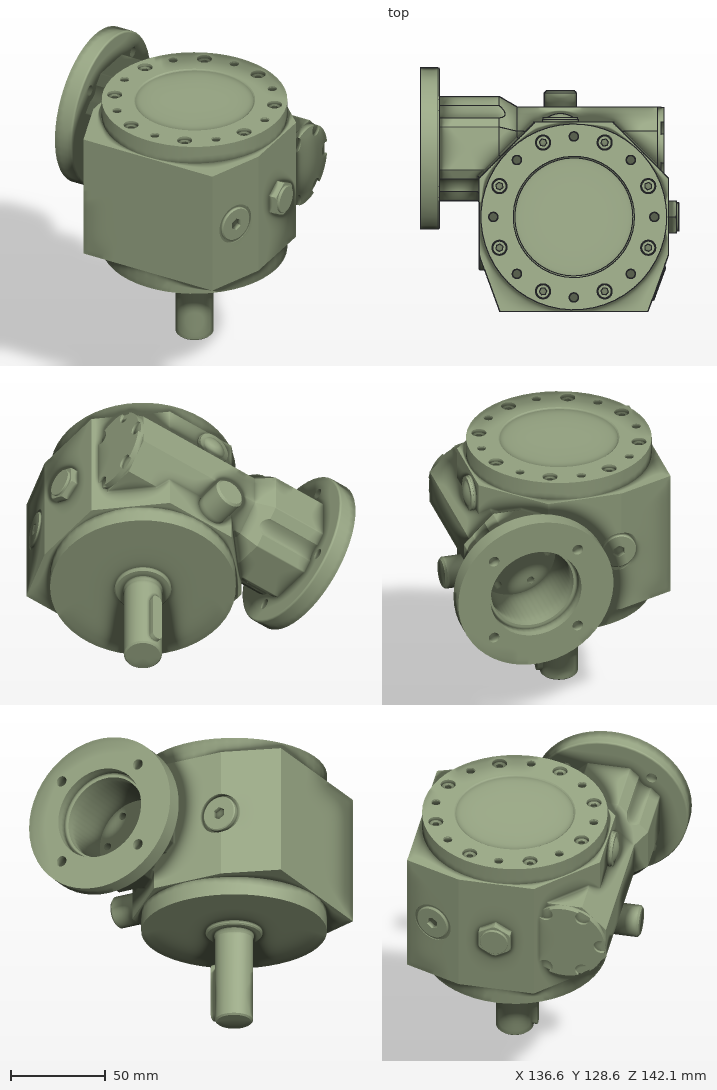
import cadquery as cq
import math

body_half = 50.0
body_half_height = 35.0
rear_flat_half = 20.5
side_start_y = -20.0
front_half = 39.0

cover_dia = 98
cover_thickness = 10.1
screw_circle_dia = 84.9
screw_count = 8
cover_hole_dia = 4.5
cover_hole_mouth_dia = 5.0
cover_hole_mouth_depth = 0.4
cover_hole_depth = 10
recess_dia = 63.9
recess_floor_dia = 62.2
recess_depth = 0.7

counterbore_dia = 8.0
head_dia = 7.0
counterbore_depth = 5.0
head_drop = 1.7
socket_dia = 4.0
socket_depth = 2.0

shaft_dia = 20.0
shaft_end_z = -97.0
shaft_chamfer = 0.9
collar_dia = 30.0
collar_height = 2.1
collar_chamfer = 0.7
shoulder_dia = 21.0
shoulder_height = 4.5
shoulder_taper_height = 1.4
key_width = 6.0
key_length = 32.0
key_top_y = 12.5
key_start_z = -62.0

worm_y = 36.0
flange_dia = 85.2
flange_x = -81
flange_thickness = 10.1
flange_fillet = 1.0
neck_apothem = 27.5
neck_end_x = -39.5
tube_apothem = 22.0
taper_end_x = -30.0
tube_end_x = 44.2
tube_overrun_x = 63.9
edge_fillet = 1.0
wall_fillet = 1.0

flange_bolt_circle_dia = 65.0
flange_bolt_dia = 5.8
groove_radius = 6.8
groove_end_x = -28.4

spigot_dia = 50.0
spigot_depth = 7.0
bore_dia = 45.3
bore_floor_x = -40.0
bore_hole_circle_dia = 36.0
bore_hole_dia = 4.0
bore_hole_mouth_dia = 4.3
bore_hole_mouth_depth = 0.4
bore_hole_depth = 7.1
bore_hole_count = 6

cap_thickness = 3.4
cap_screw_circle_dia = 40.0
cap_screw_count = 6
cap_counterbore_depth = 1.5

hex_corner_dia = 19.6
hex_height = 4.3
hex_chamfer = 0.5
hex_button_dia = 15.0
hex_button_height = 1.3
hex_button_chamfer = 0.3
spotface_dia = 22.0
plug_dia = 19.0
plug_chamfer = 0.5
plug_socket_dia = 7.0
plug_socket_depth = 2.8
left_plug_y = -18.6
left_spotface_depth = 3.4
slant_spotface_depth = 0.5
slant_plug_rise = 0.9
fitting_x = -7.1
fitting_z = 23.0
breather_dia = 17
breather_end_y = 66.6
breather_chamfer = 1.1
dome_base_height = 1.3
dome_plug_dia = 18.2
dome_plug_height = 2.5
dome_dia = 13.3
dome_height = 2.0

cover_top_z = body_half_height + cover_thickness


def along(origin, normal, x_dir=(0, 0, 1)):
    """Workplane at origin whose local Z follows normal."""
    return cq.Workplane(cq.Plane(origin=origin, xDir=x_dir, normal=normal))


def octagon_points(apothem):
    corner_radius = apothem / math.cos(math.pi / 8)
    angles = [math.pi / 8 + i * math.pi / 4 for i in range(8)]
    return [(corner_radius * math.cos(a), corner_radius * math.sin(a)) for a in angles]


def worm_plane(x):
    return cq.Workplane("YZ", origin=(x, worm_y, 0))


def make_block():
    right_side = [
        (front_half, -body_half),
        (body_half, side_start_y),
        (body_half, rear_flat_half),
        (rear_flat_half, body_half),
    ]
    left_side = [(-x, y) for x, y in reversed(right_side)]
    return (
        cq.Workplane("XY")
        .polyline(right_side + left_side)
        .close()
        .extrude(body_half_height, both=True)
    )


def make_covers():
    upper = cq.Workplane("XY", origin=(0, 0, body_half_height)).circle(cover_dia / 2).extrude(cover_thickness)
    return upper.union(upper.mirror("XY"))


def make_neck():
    """Octagonal neck behind the flange, tapering to the tube."""
    neck_start_x = flange_x + flange_thickness
    neck = worm_plane(neck_start_x).polyline(octagon_points(neck_apothem)).close()
    neck = neck.extrude(neck_end_x - neck_start_x)
    neck = neck.edges("|X").fillet(edge_fillet)
    taper = (
        worm_plane(neck_end_x)
        .polyline(octagon_points(neck_apothem))
        .close()
        .workplane(offset=taper_end_x - neck_end_x)
        .polyline(octagon_points(tube_apothem))
        .close()
        .loft(ruled=True)
    )
    return neck.union(taper)


def make_tube():
    """Octagonal tube, long enough to pass right through the block wall."""
    tube = worm_plane(taper_end_x).polyline(octagon_points(tube_apothem)).close()
    return tube.extrude(tube_overrun_x - taper_end_x)


def make_cap():
    cap = worm_plane(tube_end_x).circle(tube_apothem).extrude(cap_thickness)
    screw_pockets = (
        worm_plane(tube_end_x + cap_thickness)
        .polarArray(cap_screw_circle_dia / 2, 0, 360, cap_screw_count)
        .circle(counterbore_dia / 2)
        .extrude(-cap_counterbore_depth)
    )
    return cap.cut(screw_pockets)


def make_flange():
    flange = worm_plane(flange_x).circle(flange_dia / 2).extrude(flange_thickness)
    flange = flange.faces(">X").edges().fillet(flange_fillet)
    bolt_holes = (
        worm_plane(flange_x)
        .polarArray(flange_bolt_circle_dia / 2, 45, 360, 4)
        .circle(flange_bolt_dia / 2)
        .extrude(flange_thickness)
    )
    return flange.cut(bolt_holes)


def fillet_worm_joint(housing):
    """Round the inner corner where the neck and tube meet the block walls."""
    diagonal_sum = body_half + rear_flat_half
    tolerance = 0.01

    def on_side(point):
        return abs(abs(point.x) - body_half) < tolerance

    def on_diagonal(point):
        return abs(abs(point.x) + point.y - diagonal_sum) < tolerance

    def is_joint(edge):
        points = [edge.positionAt(t) for t in (0, 0.5, 1)]
        between_covers = all(abs(p.z) < body_half_height - tolerance for p in points)
        on_one_wall = all(map(on_side, points)) or all(map(on_diagonal, points))
        return between_covers and on_one_wall

    joint = [edge for edge in housing.edges().vals() if is_joint(edge)]
    return housing.newObject(joint).fillet(wall_fillet)


def trim_tube(housing, block):
    """Shorten the tube to its end face without touching the block."""
    trim = worm_plane(tube_end_x).circle(body_half).extrude(tube_overrun_x - tube_end_x)
    return housing.cut(trim.cut(block))


def cut_bolt_grooves(housing, block):
    """Round groove along each diagonal of the neck, stopping at the block."""
    neck_start_x = flange_x + flange_thickness
    grooves = (
        worm_plane(neck_start_x)
        .polarArray(flange_bolt_circle_dia / 2, 45, 360, 4)
        .circle(groove_radius)
        .extrude(groove_end_x - neck_start_x)
    )
    return housing.cut(grooves.cut(block))


def cut_motor_bore(housing):
    spigot = worm_plane(flange_x).circle(spigot_dia / 2).extrude(spigot_depth)
    bore = worm_plane(flange_x).circle(bore_dia / 2).extrude(bore_floor_x - flange_x)

    def floor_holes(dia, depth):
        spots = worm_plane(bore_floor_x).polarArray(bore_hole_circle_dia / 2, 0, 360, bore_hole_count)
        return spots.circle(dia / 2).extrude(depth)

    mouths = floor_holes(bore_hole_mouth_dia, bore_hole_mouth_depth)
    holes = floor_holes(bore_hole_dia, bore_hole_depth)
    return housing.cut(spigot).cut(bore).cut(mouths).cut(holes)


def cut_cover_details(housing):
    def ring(start_angle, z):
        plane = cq.Workplane("XY", origin=(0, 0, z))
        return plane.polarArray(screw_circle_dia / 2, start_angle, 360, screw_count)

    half_pitch = 180 / screw_count
    head_top_z = cover_top_z - head_drop
    recess = (
        cq.Workplane("XY", origin=(0, 0, cover_top_z))
        .circle(recess_dia / 2)
        .workplane(offset=-recess_depth)
        .circle(recess_floor_dia / 2)
        .loft()
    )
    plain_holes = ring(0, cover_top_z).circle(cover_hole_dia / 2).extrude(-cover_hole_depth)
    hole_mouths = ring(0, cover_top_z).circle(cover_hole_mouth_dia / 2).extrude(-cover_hole_mouth_depth)
    counterbores = ring(half_pitch, cover_top_z).circle(counterbore_dia / 2).extrude(-counterbore_depth)
    heads = ring(half_pitch, head_top_z).circle(head_dia / 2).extrude(head_drop - counterbore_depth)
    sockets = ring(half_pitch, head_top_z).polygon(6, socket_dia).extrude(-socket_depth)
    housing = housing.cut(recess).cut(plain_holes).cut(hole_mouths)
    return housing.cut(counterbores).union(heads).cut(sockets)


def make_shaft():
    start = cq.Workplane("XY", origin=(0, 0, -cover_top_z))
    shaft = start.circle(shaft_dia / 2).extrude(shaft_end_z + cover_top_z)
    shaft = shaft.faces("<Z").edges().chamfer(shaft_chamfer)
    collar = start.circle(collar_dia / 2).extrude(-collar_height)
    collar = collar.faces("<Z").edges().chamfer(collar_chamfer)
    shoulder = start.circle(shoulder_dia / 2).extrude(-shoulder_height)
    shoulder_step = (shoulder_dia - shaft_dia) / 2
    shoulder = shoulder.faces("<Z").edges().chamfer(shoulder_taper_height, shoulder_step)
    key = (
        along((0, 0, key_start_z - key_length / 2), (0, 1, 0))
        .slot2D(key_length, key_width)
        .extrude(key_top_y)
    )
    return shaft.union(collar).union(shoulder).union(key)


def make_hex_plug():
    """Hexagon plug with a round button on the +X wall."""
    base = along((body_half, 0, 0), (1, 0, 0))
    chamfered_blank = base.circle(hex_corner_dia / 2).extrude(hex_height)
    chamfered_blank = chamfered_blank.faces(">X").edges().chamfer(hex_chamfer)
    hexagon = base.polygon(6, hex_corner_dia).extrude(hex_height).intersect(chamfered_blank)
    button = base.circle(hex_button_dia / 2).extrude(hex_height + hex_button_height)
    button = button.faces(">X").edges().chamfer(hex_button_chamfer)
    return hexagon.union(button)


def add_sunk_plug(housing, face_point, normal, floor_depth, rise):
    """Spotface sunk into a wall, filled by a round socket plug that rises above the wall."""
    face = along(face_point, normal)
    spotface = face.workplane(offset=-floor_depth).circle(spotface_dia / 2).extrude(2 * floor_depth)
    plug = face.workplane(offset=-floor_depth).circle(plug_dia / 2).extrude(floor_depth + rise)
    plug = plug.faces(cq.DirectionMinMaxSelector(cq.Vector(*normal))).edges().chamfer(plug_chamfer)
    socket = face.workplane(offset=rise).polygon(6, plug_socket_dia).extrude(-plug_socket_depth)
    return housing.cut(spotface).union(plug).cut(socket)


def make_breather():
    stub = along((fitting_x, 0, -fitting_z), (0, 1, 0)).circle(breather_dia / 2).extrude(breather_end_y)
    return stub.faces(">Y").edges().chamfer(breather_chamfer)


def make_dome_plug():
    base = along((fitting_x, body_half, fitting_z), (0, 1, 0))
    washer = base.circle(plug_dia / 2).extrude(dome_base_height)
    disc = base.circle(dome_plug_dia / 2).extrude(dome_plug_height)
    dome_radius = (dome_dia**2 / 4 + dome_height**2) / (2 * dome_height)
    dome_top = dome_plug_height + dome_height
    dome = (
        cq.Workplane("XY", origin=(fitting_x, body_half, fitting_z))
        .moveTo(0, dome_top)
        .radiusArc((dome_dia / 2, dome_plug_height), dome_radius)
        .lineTo(0, dome_plug_height)
        .close()
        .revolve(360, (0, 0, 0), (0, 1, 0))
    )
    return washer.union(disc).union(dome)


block = make_block()
housing = block.union(make_neck()).union(make_tube())
housing = fillet_worm_joint(housing)
housing = trim_tube(housing, block)
housing = cut_bolt_grooves(housing, block)
housing = housing.union(make_flange()).union(make_cap()).union(make_covers())
housing = cut_motor_bore(housing)
housing = cut_cover_details(housing)

slant_run = body_half - front_half
slant_rise = body_half + side_start_y
slant_length = math.hypot(slant_run, slant_rise)
slant_normal = (slant_rise / slant_length, -slant_run / slant_length, 0)
slant_middle = ((body_half + front_half) / 2, (side_start_y - body_half) / 2, 0)

housing = add_sunk_plug(housing, (-body_half, left_plug_y, 0), (-1, 0, 0), left_spotface_depth, 0)
housing = add_sunk_plug(housing, slant_middle, slant_normal, slant_spotface_depth, slant_plug_rise)

result = (
    housing.union(make_shaft())
    .union(make_hex_plug())
    .union(make_breather())
    .union(make_dome_plug())
)